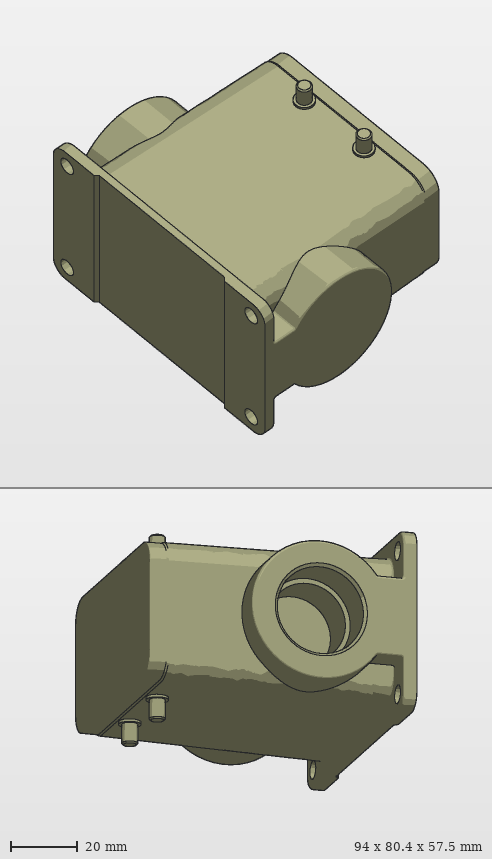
import cadquery as cq


plate_length = 94.0
plate_width = 56.0
plate_thickness = 4.1
plate_corner_radius = 5.2
edge_round = 0.9
root_radius = 0.75

hole_radius = 2.8
hole_spacing_x = 81.8
hole_spacing_z = 44.7
channel_width = 55.65
channel_depth = 1.1

body_end = 75.1
body_base_size = (74.6, 45.5)
body_end_size = (72.8, 43.2)
body_corner_radius = 7.5
body_end_bevel = 0.7
pad_margin = 1.9

total_depth = 80.4
collar_size = (72.4, 42.5)
collar_corner_radius = 7.1
collar_rim_round = 0.3

boss_centre_y = 30.1
boss_radius = 21.6
web_width = 24.6

entry_radius = 13.5
entry_depth = 13.7
entry_chamfer = 0.9
entry_inner_radius = 12.0
entry_total_depth = 28.2

pin_spacing = 26.5
pin_centre_y = 70.7
pin_radius = 2.4
pin_tip_chamfer = 0.5
pin_span = 57.5
flange_radius = 3.4
flange_span = 44.9

pick_margin = 0.1


def plane_at(y):
    """Plane facing +Y at the given height above the mounting face."""
    return cq.Workplane(cq.Plane(origin=(0, y, 0), xDir=(1, 0, 0), normal=(0, 1, 0)))


def rounded_rectangle(size, radius):
    return cq.Sketch().rect(*size).vertices().fillet(radius)


def loft_between(lower_outline, lower_y, upper_outline, upper_y):
    """Straight-sided transition between two outlines at different heights."""
    lower = lower_outline.moved(plane_at(lower_y).plane.location)
    upper = upper_outline.moved(plane_at(upper_y).plane.location)
    return cq.Workplane().placeSketch(lower, upper).loft(ruled=True)


def make_plate():
    return (
        plane_at(0)
        .placeSketch(rounded_rectangle((plate_length, plate_width), plate_corner_radius))
        .extrude(plate_thickness)
    )


def make_mount():
    """Plate, webs and cable bosses, with one continuous round along their outer edges."""
    bosses = (
        cq.Workplane("YZ")
        .center(boss_centre_y, 0)
        .circle(boss_radius)
        .extrude(plate_length / 2, both=True)
    )
    web = cq.Workplane("XY").box(plate_length, boss_centre_y, web_width, centered=(True, False, True))
    mount = make_plate().union(bosses).union(web)

    web_box = cq.selectors.BoxSelector(
        (-plate_length, plate_thickness - pick_margin, -web_width / 2 - pick_margin),
        (plate_length, boss_centre_y - pick_margin, web_width / 2 + pick_margin),
    )
    mount = mount.edges("|X").edges(web_box).fillet(root_radius)

    upper_edges = cq.selectors.BoxSelector(
        (-plate_length, plate_thickness - pick_margin, -plate_width),
        (plate_length, total_depth, plate_width),
    )
    return mount.edges(upper_edges).edges("not |X").fillet(edge_round)


def make_body():
    """Body tapering towards the collar, rising from a pad flush with the plate."""
    base_outline = rounded_rectangle(body_base_size, body_corner_radius)
    end_outline = rounded_rectangle(body_end_size, body_corner_radius)
    collar_outline = rounded_rectangle(collar_size, collar_corner_radius)
    bevel_start = body_end - body_end_bevel
    body = loft_between(base_outline, 0, end_outline, bevel_start)
    bevel = loft_between(end_outline, bevel_start, collar_outline, body_end)

    pad_size = [side + 2 * pad_margin for side in body_base_size]
    pad = plane_at(0).rect(*pad_size).extrude(plate_thickness)
    body = body.union(bevel).union(pad)
    body_root = cq.selectors.BoxSelector(
        (-body_base_size[0] / 2, plate_thickness - pick_margin, -body_base_size[1] / 2),
        (body_base_size[0] / 2, plate_thickness + pick_margin, body_base_size[1] / 2),
    )
    return body.edges(body_root).fillet(root_radius)


def make_collar():
    return (
        plane_at(body_end)
        .placeSketch(rounded_rectangle(collar_size, collar_corner_radius))
        .extrude(total_depth - body_end)
        .faces(">Y")
        .edges()
        .fillet(collar_rim_round)
    )


def make_pins():
    """Pins running through the body, each with a short flange on either side."""
    centres = [(-pin_spacing / 2, pin_centre_y), (pin_spacing / 2, pin_centre_y)]
    base = cq.Workplane("XY").pushPoints(centres)
    pins = base.circle(pin_radius).extrude(pin_span / 2, both=True)
    pins = pins.faces("<Z or >Z").chamfer(pin_tip_chamfer)
    return pins.union(base.circle(flange_radius).extrude(flange_span / 2, both=True))


def make_cable_entry():
    outer_face = cq.Workplane("YZ", origin=(-plate_length / 2, 0, 0)).center(boss_centre_y, 0)
    bore = outer_face.circle(entry_radius).extrude(entry_depth)
    mouth = outer_face.circle(entry_radius + entry_chamfer).extrude(entry_chamfer, taper=45)
    inner_bore = outer_face.circle(entry_inner_radius).extrude(entry_total_depth)
    return bore.union(mouth).union(inner_bore)


def make_mounting_holes():
    return (
        plane_at(0)
        .rect(hole_spacing_x, hole_spacing_z, forConstruction=True)
        .vertices()
        .circle(hole_radius)
        .extrude(plate_thickness)
    )


def make_channel():
    """Channel with 45 degree sides across the mounting face."""
    mouth_half = channel_width / 2 + channel_depth
    floor_half = channel_width / 2
    return (
        cq.Workplane("XY")
        .moveTo(-mouth_half, 0)
        .lineTo(-floor_half, channel_depth)
        .lineTo(floor_half, channel_depth)
        .lineTo(mouth_half, 0)
        .close()
        .extrude(plate_width / 2, both=True)
    )


result = make_mount().union(make_body())
result = result.union(make_collar()).union(make_pins())
result = result.cut(make_cable_entry()).cut(make_mounting_holes()).cut(make_channel())